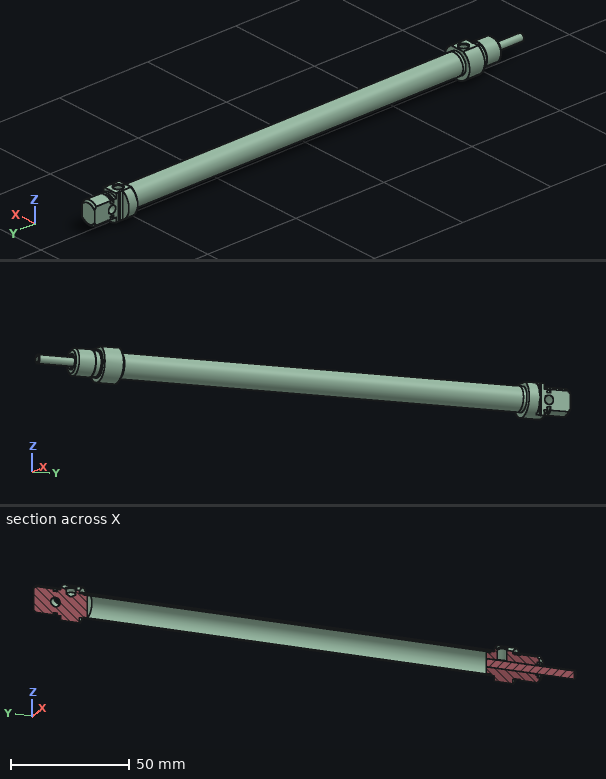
import cadquery as cq


total_length = 246.0
nose_start = 16.0
front_flange_start = 28.0
front_flange_end = 36.6
seam_offset = 1.6
rear_collar_start = 225.0
rear_shoulder = 230.0
rear_collar_end = 233.8

head_diameter = 16.0
flat_height = 7.0
flat_width = 8.0
barrel_diameter = 11.27
barrel_bore = 10.0
spigot_length = 2.0

barrel_start = front_flange_end + seam_offset
barrel_end = rear_collar_start - seam_offset

rod_diameter = 4.0
rod_tip_chamfer = 0.4
rod_end = barrel_start + spigot_length

thread_diameter = 12.0
nose_chamfer = 1.0
relief_diameter = 11.2
relief_start = 24.8
relief_end = 27.3
wiper_diameter = 6.7
wiper_depth = 1.0
clearance_diameter = 4.7
clearance_depth = 0.5

clevis_diameter = 12.0
clevis_chamfer = 1.0
clevis_groove_diameter = 10.0
clevis_groove_start = 235.2
clevis_groove_end = 236.8
side_groove_start = 231.5
side_groove_end = 232.3
side_groove_depth = 0.2
pivot_diameter = 4.0
pivot_position = 236.0

port_diameter = 4.13
port_mouth_diameter = 5.0
front_port_position = 33.0
rear_port_position = 229.0
rear_port_floor = 4.6
rear_tip_depth = 1.2


def revolve_profile(points):
    """Solid of revolution about the Y axis from (radius, y) points."""
    return cq.Workplane("XY").polyline(points).close().revolve(360, (0, 0, 0), (0, 1, 0))


def rod_section(diameter, start, end):
    """Cylinder on the Y axis between two stations."""
    return cq.Workplane("XZ", origin=(0, start, 0)).circle(diameter / 2).extrude(start - end)


def box_between(x_range, y_range, z_range):
    """Box given by its limits along each axis."""
    limits = (x_range, y_range, z_range)
    size = [high - low for low, high in limits]
    centre = [(high + low) / 2 for low, high in limits]
    return cq.Workplane("XY").box(*size).translate(tuple(centre))


def top_flat_cut(start, end):
    """Block that leaves the flat port seat on top of a head."""
    return box_between((-head_diameter, head_diameter), (start, end), (flat_height, head_diameter))


def cut_both_sides(body, half_width, start, end):
    """Cut a body back to flats at X = +/- half_width between two stations."""
    z_range = (-head_diameter, head_diameter)
    for side in (-1, 1):
        x_range = sorted((side * half_width, side * head_diameter))
        body = body.cut(box_between(x_range, (start, end), z_range))
    return body


def port_cut(position, floor, tip_depth=0):
    """Port drilled down from the flat, with a countersunk mouth and an optional conical tip."""
    mouth_depth = (port_mouth_diameter - port_diameter) / 2
    points = [
        (0, flat_height),
        (port_mouth_diameter / 2, flat_height),
        (port_diameter / 2, flat_height - mouth_depth),
        (port_diameter / 2, floor),
        (0, floor - tip_depth),
    ]
    profile = cq.Workplane("XZ").polyline(points).close()
    return profile.revolve(360, (0, 0, 0), (0, 1, 0)).translate((0, position, 0))


def make_rod():
    rod = rod_section(rod_diameter, 0, rod_end)
    return rod.faces("<Y").chamfer(rod_tip_chamfer)


def make_front_cap():
    thread_radius = thread_diameter / 2
    relief_radius = relief_diameter / 2
    head_radius = head_diameter / 2
    wiper_end = nose_start + wiper_depth
    clearance_end = wiper_end + clearance_depth
    spigot_end = barrel_start + spigot_length
    cap = revolve_profile([
        (rod_diameter / 2, clearance_end),
        (clearance_diameter / 2, clearance_end),
        (clearance_diameter / 2, wiper_end),
        (wiper_diameter / 2, wiper_end),
        (wiper_diameter / 2, nose_start),
        (thread_radius - nose_chamfer, nose_start),
        (thread_radius, nose_start + nose_chamfer),
        (thread_radius, relief_start),
        (relief_radius, relief_start),
        (relief_radius, relief_end),
        (thread_radius, relief_end),
        (thread_radius, front_flange_start),
        (head_radius, front_flange_start),
        (head_radius, front_flange_end),
        (barrel_diameter / 2, front_flange_end),
        (barrel_diameter / 2, barrel_start),
        (barrel_bore / 2, barrel_start),
        (barrel_bore / 2, spigot_end),
        (rod_diameter / 2, spigot_end),
    ])
    cap = cap.cut(top_flat_cut(front_flange_start, front_flange_end))
    return cap.cut(port_cut(front_port_position, 0))


def make_barrel():
    outside = rod_section(barrel_diameter, barrel_start, barrel_end)
    return outside.cut(rod_section(barrel_bore, barrel_start, barrel_end))


def make_rear_cap():
    head_radius = head_diameter / 2
    clevis_radius = clevis_diameter / 2
    groove_radius = clevis_groove_diameter / 2
    spigot_start = barrel_end - spigot_length
    cap = revolve_profile([
        (0, spigot_start),
        (barrel_bore / 2, spigot_start),
        (barrel_bore / 2, barrel_end),
        (barrel_diameter / 2, barrel_end),
        (barrel_diameter / 2, rear_collar_start),
        (head_radius, rear_collar_start),
        (head_radius, rear_collar_end),
        (clevis_radius, rear_collar_end),
        (clevis_radius, clevis_groove_start),
        (groove_radius, clevis_groove_start),
        (groove_radius, clevis_groove_end),
        (clevis_radius, clevis_groove_end),
        (clevis_radius, total_length - clevis_chamfer),
        (clevis_radius - clevis_chamfer, total_length),
        (0, total_length),
    ])
    cap = cap.cut(top_flat_cut(rear_collar_start, rear_collar_end))
    cap = cut_both_sides(cap, flat_width / 2, rear_shoulder, total_length)
    cap = cut_both_sides(cap, flat_width / 2 - side_groove_depth, side_groove_start, side_groove_end)
    pivot = cq.Workplane("YZ").center(pivot_position, 0).circle(pivot_diameter / 2)
    cap = cap.cut(pivot.extrude(head_diameter, both=True))
    return cap.cut(port_cut(rear_port_position, rear_port_floor, rear_tip_depth))


rod = make_rod()
front_cap = make_front_cap()
barrel = make_barrel()
rear_cap = make_rear_cap()

result = cq.Compound.makeCompound([rod.val(), front_cap.val(), barrel.val(), rear_cap.val()])